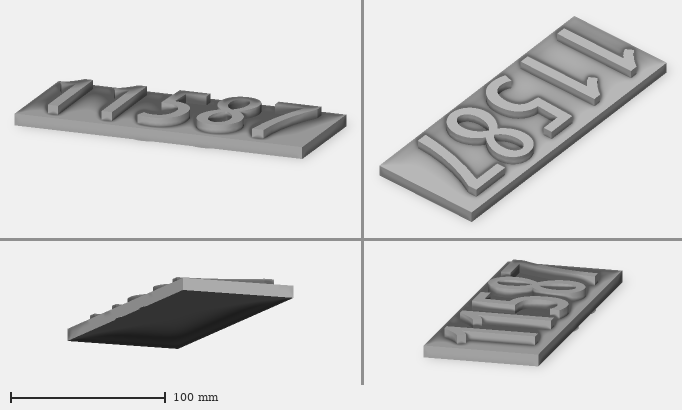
import cadquery as cq


plate_length = 200.0
plate_width = 77.0
total_height = 14.0
digit_height = 6.0
sheet_thickness = 0.2
plate_thickness = total_height - digit_height - sheet_thickness
plate_bottom = sheet_thickness
plate_top = plate_bottom + plate_thickness

tab_reach = 1.5
tab_radius = 16.0
tab_positions = [-10.8, 30.8]

digit_count = 5
cell_pitch = 37.5
cap_height = 61.5
first_cell_x = -digit_count * cell_pitch / 2
baseline_y = -cap_height / 2

bar_bottom = cap_height - 6.5
bowl_bottom = -1.2
flag_tip_height = 49.2


def make_plate():
    return (
        cq.Workplane("XY", origin=(0, 0, plate_bottom))
        .rect(plate_length, plate_width)
        .extrude(plate_thickness)
    )


def make_backing_sheet():
    """Sheet with the plate's outline and two round tabs along the -Y edge."""
    tab_centre_y = -plate_width / 2 - tab_reach + tab_radius
    tabs = (
        cq.Workplane("XY")
        .pushPoints([(x, tab_centre_y) for x in tab_positions])
        .circle(tab_radius)
        .extrude(sheet_thickness)
    )
    return cq.Workplane("XY").rect(plate_length, plate_width).extrude(sheet_thickness).union(tabs)


def digit_plane(cell):
    """Workplane on the plate top, with its origin at the left end of a cell's baseline."""
    return cq.Workplane("XY", origin=(first_cell_x + cell * cell_pitch, baseline_y, plate_top))


def make_one(cell):
    stem_left = 13.5
    stem_right = 20.5
    return (
        digit_plane(cell)
        .moveTo(stem_left, 0)
        .lineTo(stem_right, 0)
        .lineTo(stem_right, cap_height)
        .lineTo(14.8, cap_height)
        .threePointArc((9.2, 54.5), (2.5, flag_tip_height))
        .lineTo(5.5, 44.0)
        .threePointArc((9.5, 46.2), (stem_left, flag_tip_height))
        .close()
        .extrude(digit_height)
    )


def make_five(cell):
    bar_right = 27.2
    outer_bowl = [(18.5, 36.0), (23.8, 32.0), (27.2, 26.0), (28.5, 18.5), (27.0, 9.5),
                  (23.2, 3.5), (17.5, -0.2), (10.2, bowl_bottom), (0.5, 1.2)]
    inner_bowl = [(10.2, 5.5), (15.8, 7.0), (19.5, 12.0), (20.5, 18.5), (19.5, 25.0),
                  (15.5, 29.5), (10.2, 31.2), (4.8, 32.0)]
    return (
        digit_plane(cell)
        .moveTo(6.0, cap_height)
        .lineTo(bar_right, cap_height)
        .lineTo(bar_right, bar_bottom)
        .lineTo(13.0, bar_bottom)
        .lineTo(12.0, 37.8)
        .spline(outer_bowl, includeCurrent=True)
        .lineTo(2.5, 8.0)
        .spline(inner_bowl, includeCurrent=True)
        .close()
        .extrude(digit_height)
    )


def make_eight(cell):
    left_waist = (9.0, 32.0)
    right_waist = (21.0, 32.0)
    upper_loop = [(3.5, 39.2), (1.5, 48.5), (5.5, 59.0), (15.5, 63.5),
                  (25.5, 59.0), (29.0, 48.5), (26.5, 39.2), right_waist]
    lower_loop = [(27.5, 24.5), (30.2, 15.0), (26.5, 4.0), (15.2, bowl_bottom),
                  (4.0, 4.0), (0, 15.0), (2.5, 24.5), left_waist]
    upper_eye_point = (15.5, 34.5)
    upper_eye = [(10.5, 40.2), (9.0, 48.5), (11.0, 55.2), (15.5, 57.5),
                 (19.8, 54.8), (21.8, 48.5), (20.5, 40.2), upper_eye_point]
    lower_eye_point = (14.0, 29.0)
    lower_eye = [(20.0, 23.0), (22.5, 15.0), (20.5, 8.0), (15.2, 4.8),
                 (9.8, 8.0), (7.8, 15.8), (9.2, 23.0), lower_eye_point]
    return (
        digit_plane(cell)
        .moveTo(*left_waist)
        .spline(upper_loop, includeCurrent=True)
        .spline(lower_loop, includeCurrent=True)
        .close()
        .moveTo(*upper_eye_point)
        .spline(upper_eye, includeCurrent=True)
        .close()
        .moveTo(*lower_eye_point)
        .spline(lower_eye, includeCurrent=True)
        .close()
        .extrude(digit_height)
    )


def make_seven(cell):
    bar_right = 29.5
    return (
        digit_plane(cell)
        .moveTo(0, cap_height)
        .lineTo(bar_right, cap_height)
        .lineTo(bar_right, bar_bottom)
        .threePointArc((21.0, 36.0), (14.0, 0))
        .lineTo(6.0, 0)
        .threePointArc((13.5, 36.0), (21.0, bar_bottom))
        .lineTo(0, bar_bottom)
        .close()
        .extrude(digit_height)
    )


plate = make_plate()
backing_sheet = make_backing_sheet()
ones = [make_one(cell) for cell in range(2)]
five = make_five(2)
eight = make_eight(3)
seven = make_seven(4)

result = cq.Compound.makeCompound([
    plate.val(),
    backing_sheet.val(),
    *[one.val() for one in ones],
    five.val(),
    eight.val(),
    seven.val(),
])